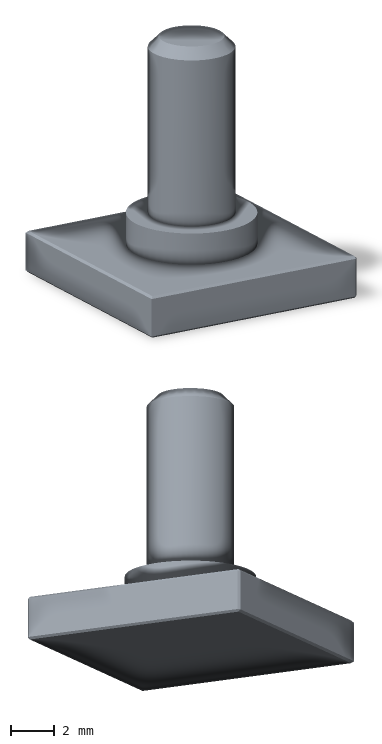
import cadquery as cq

total_height = 12.0
plate_side = 11.0
plate_thickness = 2.0
plate_chamfer = 0.1
collar_diameter = 6.0
collar_height = 1.5
pin_diameter = 4.0
pin_chamfer = 0.5

collar_top = plate_thickness + collar_height
pin_height = total_height - collar_top


def make_plate():
    """Square base plate, lightly chamfered on all edges except the two upright ones at -Y."""
    plate = cq.Workplane("XY").box(plate_side, plate_side, plate_thickness, centered=(True, True, False))
    return plate.faces("<Z or >Z or >Y").edges().chamfer(plate_chamfer)


def make_cylinder(diameter, height, base_z):
    """Upright cylinder on the Z axis, standing at base_z."""
    return cq.Workplane("XY").workplane(offset=base_z).circle(diameter / 2).extrude(height)


collar = make_cylinder(collar_diameter, collar_height, plate_thickness)
pin = make_cylinder(pin_diameter, pin_height, collar_top).faces(">Z").chamfer(pin_chamfer)

result = make_plate().union(collar).union(pin)